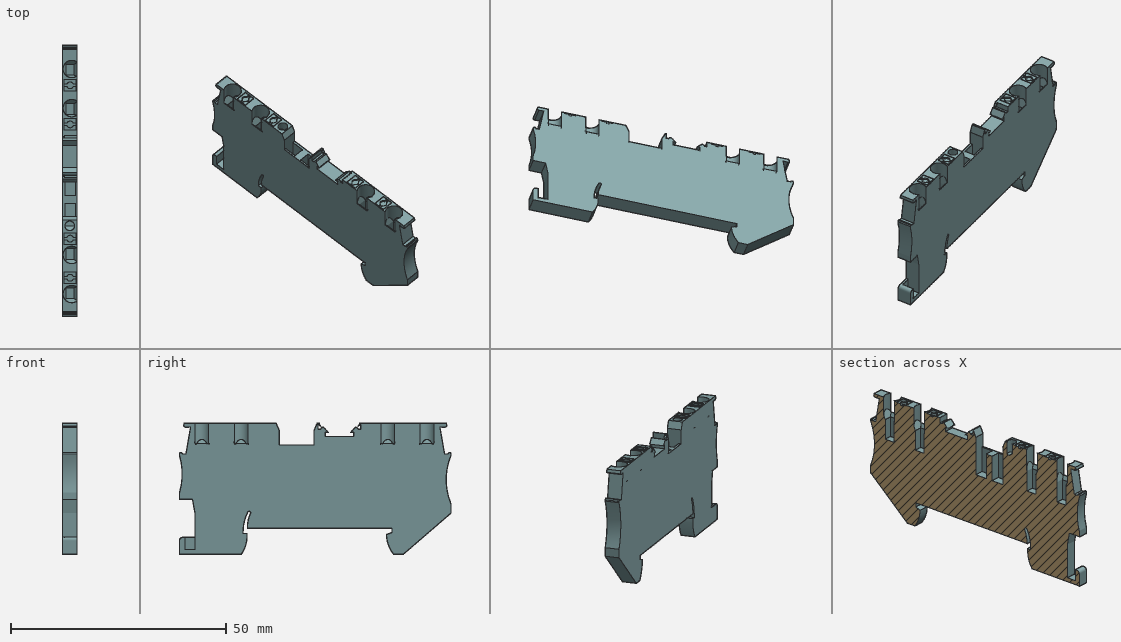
import cadquery as cq

width = 3.5
half_length = 31.6
height = 30.5

hook_y = 30.45
hook_lip_z = 29.6
neck_top_y = 29.0
neck_bottom_y = 30.1
ledge_z = 23.4
ledge_rim_z = ledge_z + 0.3
grip_top_z = 23.05

seat_z = 6.05
seat_back_y = 17.8
hook_nose_y = 16.55
latch_nose_y = -15.85
latch_nose_z = 4.85

notch_y = -28.0
notch_bottom_z = 4.0
notch_top_z = 12.75
lip_round = 0.8

skin = 0.6
lip_thickness = 1.25
toe_pocket_depth = 2.85

shaft_y_max = -0.3
shaft_y_min = -8.35
shaft_floor_z = 25.5
shaft_lead_z = 28.8
shaft_lead = 0.75

groove_mid_y = 5.6
groove_floor_half = 3.3
groove_floor_z = 27.4
groove_lip_z = 28.4
groove_step_z = 29.15
groove_half = 4.9
groove_lip_half = 2.6
ridge_half = 3.7
ridge_z = 29.6
ridge_foot_half = 4.35

tip_root_half = 4.7
tip_end_half = 4.3

upper_button_ys = (22.2, 13.1)
lower_button_ys = (-13.45, -22.55)
funnel_spacing = 3.8
button_x = 0.095
button_length = 2.65
button_width = 2.8
button_recess = 0.1
screw_diameter = 1.6
screw_slot = 0.6
screw_recess = 0.4

funnel_x = 0.475
funnel_radius = 2.0
funnel_depth = 3.8
hopper_depth = 1.9
throat_x = 0.095
throat_shift = 0.2
throat_width = 1.85
throat_length = 2.5
throat_depth = 5.05

bridge_x = 0.095
bridge_width = 2.45
bridge_length = 3.1
bridge_depth = 6.3

test_hole_y = -10.5
test_hole_diameter = 2.2
test_hole_depth = 3.15


def extrude_along_x(sketch, x_start, thickness):
    """Extrude a closed YZ outline from x_start towards +X."""
    return sketch.extrude(thickness).translate((x_start, 0, 0))


def end_wall(side):
    """Points of the hook, neck and ledge of one end, from the top down; side is +1 or -1."""
    points = [
        (hook_y, height),
        (hook_y + 0.2, hook_lip_z + 0.25),
        (hook_y - 0.25, hook_lip_z - 0.05),
        (neck_top_y, hook_lip_z),
        (neck_bottom_y, ledge_z),
        (half_length - 0.75, ledge_z),
        (half_length - 0.5, ledge_rim_z),
        (half_length - 0.2, ledge_rim_z),
        (half_length, ledge_z),
        (half_length, grip_top_z),
    ]
    return [(side * y, z) for y, z in points]


def groove_point(side, offset, z):
    """Point of a groove wall; side is +1 for the +Y wall and -1 for the -Y wall."""
    return (groove_mid_y + side * offset, z)


def make_body():
    shaft_mouth = [
        (shaft_y_max + shaft_lead, height),
        (shaft_y_max, shaft_lead_z),
        (shaft_y_max, shaft_floor_z),
        (shaft_y_min, shaft_floor_z),
        (shaft_y_min, shaft_lead_z),
        (shaft_y_min - shaft_lead, height),
    ]
    ridge_run = ridge_foot_half - ridge_half
    ridge_rise = ridge_z - groove_step_z
    ridge_radius = (ridge_run**2 + ridge_rise**2) / (2 * ridge_rise)

    outline = (
        cq.Workplane("YZ")
        .moveTo(*groove_point(1, groove_half, height))
        .lineTo(*groove_point(1, groove_half, groove_step_z))
        .lineTo(*groove_point(1, ridge_foot_half, groove_step_z))
        .radiusArc(groove_point(1, ridge_half, ridge_z), -ridge_radius)
        .lineTo(*groove_point(1, groove_lip_half, groove_lip_z))
        .lineTo(*groove_point(1, groove_floor_half, groove_lip_z))
        .lineTo(*groove_point(1, groove_floor_half, groove_floor_z))
        .lineTo(*groove_point(-1, groove_floor_half, groove_floor_z))
        .lineTo(*groove_point(-1, groove_floor_half, groove_lip_z))
        .lineTo(*groove_point(-1, groove_lip_half, groove_lip_z))
        .lineTo(*groove_point(-1, ridge_half, ridge_z))
        .radiusArc(groove_point(-1, ridge_foot_half, groove_step_z), -ridge_radius)
        .lineTo(*groove_point(-1, groove_half, groove_step_z))
        .lineTo(*groove_point(-1, groove_half, height))
        .polyline(shaft_mouth + end_wall(-1), includeCurrent=True)
        .threePointArc((-half_length + 0.65, 18.7), (-half_length, 14.3))
        .lineTo(-half_length, notch_top_z)
        .lineTo(notch_y - 0.6, notch_top_z)
        .lineTo(notch_y, 9.6)
        .lineTo(notch_y, notch_bottom_z)
        .lineTo(lip_round - half_length, notch_bottom_z)
        .radiusArc((-half_length, notch_bottom_z - lip_round), -lip_round)
        .lineTo(-half_length, 0)
        .lineTo(-17.2, 0)
        .threePointArc((-16.1, 2.2), (latch_nose_y, latch_nose_z))
        .lineTo(-16.75, latch_nose_z)
        .threePointArc((-16.45, 7.8), (-15.7, 9.8))
        .threePointArc((-15.3, 10.0), (-15.05, 9.6))
        .threePointArc((-15.55, 8.2), (-15.8, seat_z))
        .lineTo(seat_back_y, seat_z)
        .lineTo(seat_back_y, 5.1)
        .lineTo(hook_nose_y, 4.6)
        .lineTo(hook_nose_y, 4.1)
        .threePointArc((17.05, 1.95), (18.2, 0))
        .lineTo(20.5, 0)
        .lineTo(half_length, 9.6)
        .lineTo(half_length, 11.7)
        .threePointArc((half_length - 1.15, 17.4), (half_length, grip_top_z))
        .polyline(end_wall(1)[::-1])
        .close()
    )
    return extrude_along_x(outline, -width / 2, width)


def make_tip(side):
    """Retaining tip overhanging one side of the marker groove."""
    points = [
        (groove_half, height),
        (tip_root_half, height),
        (tip_root_half, height - 0.25),
        (tip_end_half, height - 0.75),
        (groove_half, height - 0.4),
    ]
    outline = cq.Workplane("YZ").polyline([(groove_mid_y + side * y, z) for y, z in points]).close()
    return extrude_along_x(outline, -width / 2, skin)


def box_down(x, y, top_z, size_x, size_y, depth):
    """Box centred on x, y that reaches down from top_z."""
    return cq.Workplane("XY").box(size_x, size_y, depth).translate((x, y, top_z - depth / 2))


def round_down(x, y, top_z, radius, depth):
    """Cylinder centred on x, y that reaches down from top_z."""
    return cq.Workplane("XY", origin=(x, y, top_z)).circle(radius).extrude(-depth)


def make_funnel(y, side):
    """Round wire entry whose floor slopes in four flat faces to a rectangular throat."""
    throat_y = y - side * throat_shift
    throat_top = height - funnel_depth - hopper_depth
    bore = round_down(funnel_x, y, height, funnel_radius, funnel_depth)
    hopper_limit = round_down(funnel_x, y, height, funnel_radius, funnel_depth + hopper_depth)
    hopper = (
        cq.Workplane("XY", origin=(funnel_x, y, height - funnel_depth))
        .rect(2 * funnel_radius, 2 * funnel_radius)
        .workplane(offset=-hopper_depth)
        .center(throat_x - funnel_x, throat_y - y)
        .rect(throat_width, throat_length)
        .loft(ruled=True)
    )
    throat = box_down(throat_x, throat_y, throat_top, throat_width, throat_length, throat_depth)
    return bore.union(hopper.intersect(hopper_limit)).union(throat)


def make_toe_pocket():
    """Pocket in the notch bottom, between the notch wall and the -Y lip."""
    length = half_length - lip_thickness + notch_y
    middle_y = notch_y - length / 2
    size_x = width - skin
    return box_down(skin / 2, middle_y, notch_bottom_z, size_x, length, toe_pocket_depth)


def make_button(y):
    """Recessed release button with a slotted screw head."""
    screw_top = height - button_recess
    plate = box_down(button_x, y, height, button_width, button_length, button_recess)
    slot = box_down(button_x, y, screw_top, button_width, screw_slot, screw_recess)
    head = round_down(button_x, y, screw_top, screw_diameter / 2, screw_recess)
    return plate.union(slot).union(head)


def make_test_hole():
    """Round hole whose floor rises at 45 degrees on its -Y half."""
    radius = test_hole_diameter / 2
    floor_z = height - test_hole_depth
    hole = round_down(0, test_hole_y, height, radius, test_hole_depth)
    ramp = (
        cq.Workplane("YZ")
        .moveTo(test_hole_y, floor_z)
        .lineTo(test_hole_y - radius, floor_z)
        .lineTo(test_hole_y - radius, floor_z + radius)
        .close()
    )
    return hole.cut(extrude_along_x(ramp, -radius, test_hole_diameter))


result = make_body()

for groove_wall in (1, -1):
    result = result.union(make_tip(groove_wall))

for end, button_ys in ((1, upper_button_ys), (-1, lower_button_ys)):
    for button_y in button_ys:
        result = result.cut(make_button(button_y))
        result = result.cut(make_funnel(button_y + end * funnel_spacing, end))

for bridge_y in (shaft_y_max - bridge_length / 2, shaft_y_min + bridge_length / 2):
    result = result.cut(
        box_down(bridge_x, bridge_y, shaft_floor_z, bridge_width, bridge_length, bridge_depth)
    )

result = result.cut(make_test_hole())
result = result.cut(make_toe_pocket())